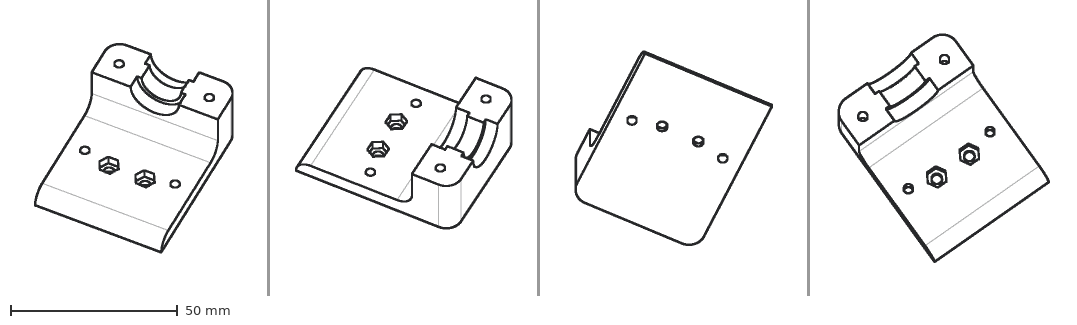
import cadquery as cq

width = 42.0
length = 53
height = 20.0
plate_thickness = 5.0
block_depth = 14.0
bend_radius = 5.0
nose_radius = 4.95
corner_radius = 5.0

seat_radius = 8.0
neck_radius = 6.5
rear_seat_length = 4.0
neck_length = 5.5

screw_diameter = 2.8
screw_spacing = 30.0
block_screw_from_rear = 7.45
plate_screw_from_rear = 31.0
block_screw_depth = 10.0

bolt_diameter = 3.2
bolt_spacing = 12.0
bolt_from_rear = 33.0
nut_corner_diameter = 6.45
nut_pocket_depth = 3.0

block_front = length - block_depth


def make_body():
    """L-shaped side profile extruded across the width."""
    profile = (
        cq.Workplane("YZ")
        .lineTo(length, 0)
        .lineTo(length, height)
        .lineTo(block_front, height)
        .lineTo(block_front, plate_thickness + bend_radius)
        .radiusArc((block_front - bend_radius, plate_thickness), bend_radius)
        .lineTo(nose_radius, plate_thickness)
        .radiusArc((0, plate_thickness - nose_radius), -nose_radius)
        .close()
    )
    body = profile.extrude(width / 2, both=True)
    return body.edges("|Z and >Y").fillet(corner_radius)


def make_seat():
    """Narrow cylinder along Y with a wider cylinder at each end."""
    neck_rear = length - rear_seat_length
    neck_front = neck_rear - neck_length

    def cylinder(radius, rear, front):
        base = cq.Workplane("XZ", origin=(0, rear, height))
        return base.circle(radius).extrude(rear - front)

    neck = cylinder(neck_radius, length, block_front)
    rear_seat = cylinder(seat_radius, length, neck_rear)
    front_seat = cylinder(seat_radius, neck_front, block_front)
    return neck.union(rear_seat).union(front_seat)


def hole_pair(spacing, from_rear, top):
    """Two mirrored points on a horizontal plane at the given height."""
    plane = cq.Workplane("XY", origin=(0, length - from_rear, top))
    return plane.pushPoints([(-spacing / 2, 0), (spacing / 2, 0)])


def make_holes():
    block_screws = hole_pair(screw_spacing, block_screw_from_rear, height)
    plate_screws = hole_pair(screw_spacing, plate_screw_from_rear, plate_thickness)
    bolts = hole_pair(bolt_spacing, bolt_from_rear, plate_thickness)
    nuts = hole_pair(bolt_spacing, bolt_from_rear, plate_thickness)
    return (
        block_screws.circle(screw_diameter / 2).extrude(-block_screw_depth)
        .union(plate_screws.circle(screw_diameter / 2).extrude(-plate_thickness))
        .union(bolts.circle(bolt_diameter / 2).extrude(-plate_thickness))
        .union(nuts.polygon(6, nut_corner_diameter).extrude(-nut_pocket_depth))
    )


result = make_body().cut(make_seat()).cut(make_holes())